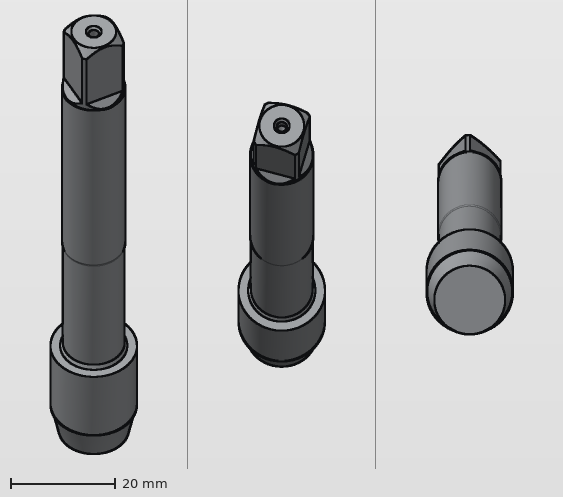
import cadquery as cq

total_length = 110.0

head_diameter = 16.63
head_length = 23.0
lead_length = 6.7
lead_start_diameter = 16.3
tip_diameter = 13.6

shank_diameter = 12.19
shank_start = 51.2
step_height = 0.5
neck_diameter = 11.89
collar_diameter = 12.9
collar_height = 0.9

square_width = 9.0
square_length = 14.1
square_sides = 4
corner_diameter = neck_diameter
end_face_diameter = 8.6

center_diameter = 2.0
center_depth = 2.5
countersink_diameter = 3.0
countersink_depth = 0.6


def turned(profile):
    """Revolves a closed (radius, height) outline around the Z axis."""
    return cq.Workplane("XZ").polyline(profile).close().revolve(360, (0, 0), (0, 1))


def make_head():
    """Plain cylinder with a tapered lead at the tip."""
    return turned([
        (0, 0),
        (tip_diameter / 2, 0),
        (lead_start_diameter / 2, lead_length),
        (head_diameter / 2, lead_length),
        (head_diameter / 2, head_length),
        (0, head_length),
    ])


def shank_blank():
    """Round shank: collar, neck, full diameter, then the stub that becomes the square."""
    ledge = total_length - square_length - (corner_diameter - square_width) / 2
    end_chamfer = (corner_diameter - end_face_diameter) / 2
    return turned([
        (0, head_length),
        (collar_diameter / 2, head_length),
        (neck_diameter / 2, head_length + collar_height),
        (neck_diameter / 2, shank_start),
        (shank_diameter / 2, shank_start + step_height),
        (shank_diameter / 2, ledge),
        (corner_diameter / 2, ledge),
        (corner_diameter / 2, total_length - end_chamfer),
        (end_face_diameter / 2, total_length),
        (0, total_length),
    ])


def flat_cutter():
    """Material outside one flat of the square and above its 45 degree ramp, on the +X side."""
    square_base = total_length - square_length
    reach = shank_diameter
    drop = reach - square_width / 2
    profile = [
        (square_width / 2, total_length),
        (square_width / 2, square_base),
        (reach, square_base - drop),
        (reach, total_length),
    ]
    return cq.Workplane("XZ").polyline(profile).close().extrude(shank_diameter, both=True)


def center_hole():
    """Countersunk hole with a 90 degree conical bottom."""
    cone_height = center_diameter / 2
    return turned([
        (0, total_length),
        (countersink_diameter / 2, total_length),
        (center_diameter / 2, total_length - countersink_depth),
        (center_diameter / 2, total_length - center_depth),
        (0, total_length - center_depth - cone_height),
    ])


def make_shank():
    body = shank_blank()
    for side in range(square_sides):
        angle = side * 360 / square_sides
        body = body.cut(flat_cutter().rotate((0, 0, 0), (0, 0, 1), angle))
    return body.cut(center_hole())


head = make_head()
shank = make_shank()

result = cq.Compound.makeCompound([head.val(), shank.val()])